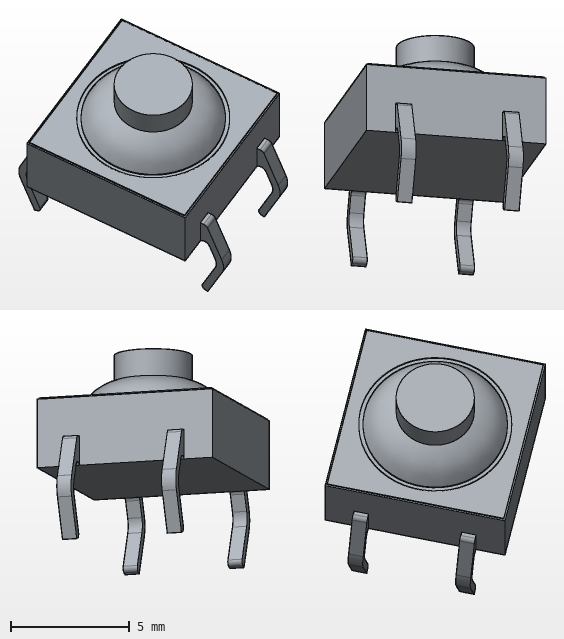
import cadquery as cq
import math

body_width = 7.75
body_height = 2.94
cover_inset = 0.07
cover_thickness = 0.06
cover_hole_radius = 3.22
cover_top = body_height + cover_thickness

dome_radius = 3.04
dome_top = 4.11
dome_bulge = 0.19
button_radius = 1.64
button_top = 5.25

lead_span = 10.02
lead_pitch = 4.63
lead_width = 0.63
lead_thickness = 0.36
lead_lean = math.radians(22)
bend_outer_radius = 1.21
bend_drop = 1.05
lead_top = 1.24
upper_inner_length = 0.74
lower_arm_length = 1.83
shoulder_radius = 0.21
tip_radius = 0.2


def make_housing():
    body = cq.Workplane("XY").rect(body_width, body_width).extrude(body_height)
    cover_width = body_width - 2 * cover_inset
    cover = (
        cq.Workplane("XY", origin=(0, 0, body_height))
        .rect(cover_width, cover_width)
        .circle(cover_hole_radius)
        .extrude(cover_thickness)
    )
    return body.union(cover)


def make_plunger():
    return (
        cq.Workplane("XZ")
        .moveTo(0, body_height)
        .lineTo(dome_radius, body_height)
        .lineTo(dome_radius, cover_top)
        .sagittaArc((button_radius, dome_top), -dome_bulge)
        .lineTo(button_radius, button_top)
        .lineTo(0, button_top)
        .close()
        .revolve(360, (0, 0), (0, 1))
    )


def round_cross_edge(lead, corner, radius):
    x, z = corner
    return lead.edges(cq.selectors.NearestToPointSelector((x, 0, z))).fillet(radius)


def make_left_lead():
    sine = math.sin(lead_lean)
    cosine = math.cos(lead_lean)
    wall_x = -body_width / 2
    bend_inner_radius = bend_outer_radius - lead_thickness
    bend_x = -lead_span / 2 + bend_outer_radius
    bend_z = -bend_drop

    def upper_arm_point(radius, distance):
        return (
            bend_x - radius * cosine + distance * sine,
            bend_z + radius * sine + distance * cosine,
        )

    def lower_arm_point(radius, distance):
        x, z = upper_arm_point(radius, distance)
        return (x, 2 * bend_z - z)

    upper_outer_length = (lead_top - upper_arm_point(bend_outer_radius, 0)[1]) / cosine
    shoulder = upper_arm_point(bend_outer_radius, upper_outer_length)
    inner_tip = lower_arm_point(bend_inner_radius, lower_arm_length)

    profile = (
        cq.Workplane("XZ")
        .moveTo(wall_x, lead_top)
        .lineTo(*shoulder)
        .lineTo(*upper_arm_point(bend_outer_radius, 0))
        .threePointArc((-lead_span / 2, bend_z), lower_arm_point(bend_outer_radius, 0))
        .lineTo(*lower_arm_point(bend_outer_radius, lower_arm_length))
        .lineTo(*inner_tip)
        .lineTo(*lower_arm_point(bend_inner_radius, 0))
        .threePointArc(
            (bend_x - bend_inner_radius, bend_z),
            upper_arm_point(bend_inner_radius, 0),
        )
        .lineTo(*upper_arm_point(bend_inner_radius, upper_inner_length))
        .tangentArcPoint((wall_x, 0), relative=False)
        .close()
    )
    lead = profile.extrude(lead_width / 2, both=True)
    lead = round_cross_edge(lead, shoulder, shoulder_radius)
    return round_cross_edge(lead, inner_tip, tip_radius)


result = make_housing().union(make_plunger())
left_lead = make_left_lead()
for lead in (left_lead, left_lead.mirror("YZ")):
    for y in (-lead_pitch / 2, lead_pitch / 2):
        result = result.union(lead.translate((0, y, 0)))